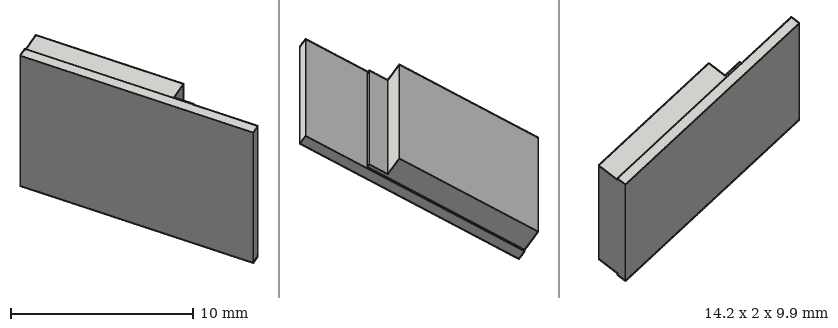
import cadquery as cq

plate_length = 14.2
plate_thickness = 0.6
plate_height = 9.9

edge_margin = 0.15
block_height = plate_height - 2 * edge_margin
block_length = 9.0
block_depth = 1.4
ledge_length = 10.2
ledge_depth = 0.2


def slab(length, depth, height, front_y):
    """Box starting at X = 0 and Y = front_y, centred on Z = 0."""
    return (
        cq.Workplane("XY")
        .box(length, depth, height, centered=(False, False, True))
        .translate((0, front_y, 0))
    )


plate = slab(plate_length, plate_thickness, plate_height, 0)
block = slab(block_length, block_depth, block_height, plate_thickness)
ledge = slab(ledge_length, ledge_depth, block_height, plate_thickness)

result = plate.union(block).union(ledge)